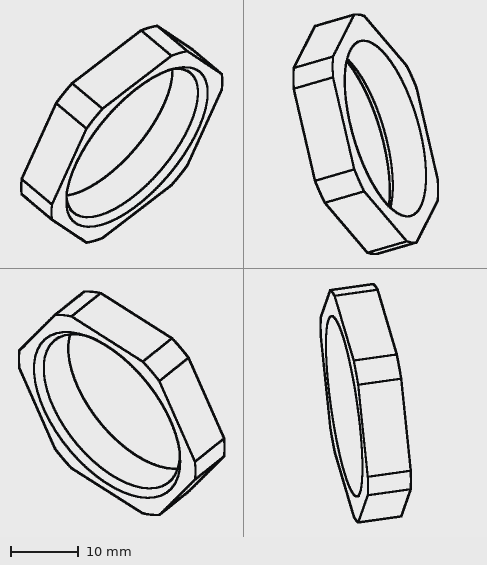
import cadquery as cq
import math

thickness = 6.5
across_flats = 32.0
corner_diameter = 34.98
bore_diameter = 26.95
bore_chamfer = 1.0
across_corners = across_flats / math.cos(math.pi / 6)


def cylinder(diameter):
    """Solid cylinder along X, centred on the origin and as long as the nut is thick."""
    return cq.Workplane("YZ").circle(diameter / 2).extrude(thickness / 2, both=True)


hexagon = cq.Workplane("YZ").polygon(6, across_corners).extrude(thickness / 2, both=True)

rounded_hexagon = hexagon.intersect(cylinder(corner_diameter))
ring = rounded_hexagon.cut(cylinder(bore_diameter))

bore_rim = ring.faces(">X").edges(cq.selectors.RadiusNthSelector(0))
result = bore_rim.chamfer(bore_chamfer)